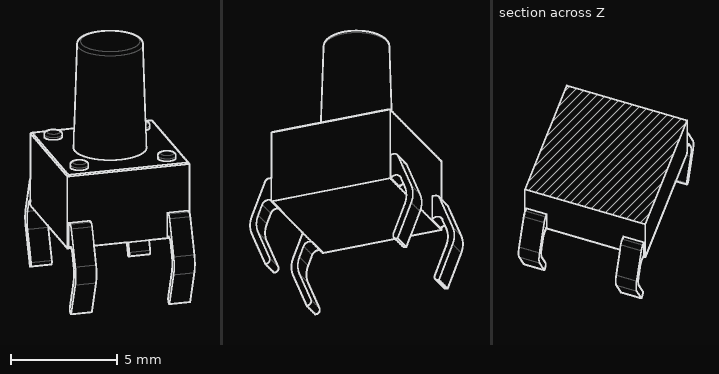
import cadquery as cq
import math

body_length_x = 6.09
body_width_y = 5.99
body_height = 3.67
body_edge_chamfer = 0.065

button_top_z = 9.0
button_base_radius = 1.72
button_top_radius = 1.55
button_edge_fillet = 0.16

rivet_diameter = 0.85
rivet_offset = 2.145
rivet_height = 0.25
rivet_edge_fillet = 0.12

legs_span_x = 8.37
leg_outer_x = legs_span_x / 2
leg_top_z = 1.28
leg_bottom_z = -3.18
leg_thickness = 0.31
leg_width = 1.02
leg_center_y = 2.41
leg_slope = math.radians(22)
bend_center_z = -1.0
bend_radius = 1.2
root_arc_radius = 0.3
root_arc_top_z = 0.155
shoulder_fillet = 0.25
tip_fillet = 0.2
leg_embed = 0.3


def make_body():
    block = cq.Workplane("XY").box(body_length_x, body_width_y, body_height, centered=(True, True, False))
    return block.faces(">Z").chamfer(body_edge_chamfer)


def make_button():
    height = button_top_z - body_height
    cone = cq.Solid.makeCone(button_base_radius, button_top_radius, height, cq.Vector(0, 0, body_height))
    return cq.Workplane(cone).faces(">Z").edges().fillet(button_edge_fillet)


def make_rivets():
    corners = [(sx * rivet_offset, sy * rivet_offset) for sx in (-1, 1) for sy in (-1, 1)]
    heads = (
        cq.Workplane("XY")
        .workplane(offset=body_height)
        .pushPoints(corners)
        .circle(rivet_diameter / 2)
        .extrude(rivet_height)
    )
    return heads.faces(">Z").edges().fillet(rivet_edge_fillet)


def make_leg():
    sin_slope = math.sin(leg_slope)
    cos_slope = math.cos(leg_slope)
    wall_x = body_length_x / 2
    bend_center_x = leg_outer_x - bend_radius
    inner_distance = bend_radius - leg_thickness

    def upper_point(distance, along):
        """Point at a distance outward from the bend center and a length along the upper arm."""
        return (
            bend_center_x + distance * cos_slope - along * sin_slope,
            bend_center_z + distance * sin_slope + along * cos_slope,
        )

    def lower_point(distance, along):
        """Mirror image of upper_point about the bend center height."""
        x, z = upper_point(distance, along)
        return (x, 2 * bend_center_z - z)

    inner_bend_x = leg_outer_x - leg_thickness / cos_slope
    inner_bend_along = leg_thickness * math.tan(leg_slope)

    upper_length = (leg_top_z - bend_center_z - bend_radius * sin_slope) / cos_slope
    shoulder = upper_point(bend_radius, upper_length)

    def lower_length(distance):
        return (bend_center_z - leg_bottom_z - distance * sin_slope) / cos_slope

    tip_outer = lower_point(bend_radius, lower_length(bend_radius))
    tip_inner = lower_point(inner_distance, lower_length(inner_distance))

    root_center_distance = inner_distance - root_arc_radius
    root_center_z = root_arc_top_z - root_arc_radius
    root_along = (root_center_z - bend_center_z - root_center_distance * sin_slope) / cos_slope
    root_start = upper_point(inner_distance, root_along)
    root_center_x = upper_point(root_center_distance, root_along)[0]
    root_top = (root_center_x, root_arc_top_z)
    root_end = (wall_x, root_center_z + math.sqrt(root_arc_radius**2 - (wall_x - root_center_x) ** 2))

    profile = (
        cq.Workplane("XZ")
        .moveTo(wall_x - leg_embed, leg_top_z)
        .lineTo(*shoulder)
        .lineTo(*upper_point(bend_radius, 0))
        .threePointArc((leg_outer_x, bend_center_z), lower_point(bend_radius, 0))
        .lineTo(*tip_outer)
        .lineTo(*tip_inner)
        .lineTo(*lower_point(inner_distance, inner_bend_along))
        .threePointArc((inner_bend_x, bend_center_z), upper_point(inner_distance, inner_bend_along))
        .lineTo(*root_start)
        .threePointArc(root_top, root_end)
        .lineTo(wall_x - leg_embed, root_end[1])
        .close()
    )
    leg = profile.extrude(leg_width / 2, both=True)

    def edge_at(point):
        return cq.selectors.NearestToPointSelector((point[0], 0, point[1]))

    leg = leg.edges(edge_at(shoulder)).fillet(shoulder_fillet)
    return leg.edges(edge_at(tip_inner)).fillet(tip_fillet)


result = make_body().union(make_button()).union(make_rivets())
right_leg = make_leg()
for leg in (right_leg, right_leg.mirror("YZ")):
    for side in (-1, 1):
        result = result.union(leg.translate((0, side * leg_center_y, 0)))